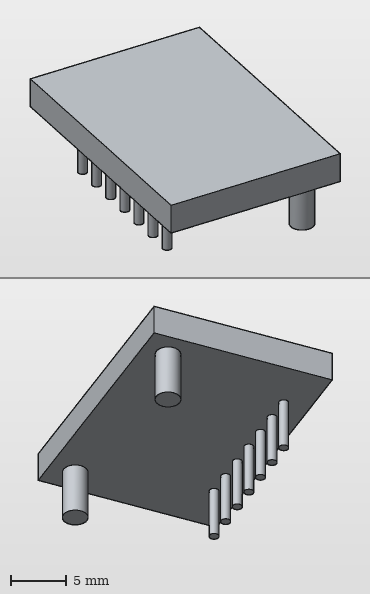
import cadquery as cq

housing_length = 25.4
housing_width = 17.78
overall_height = 8.0
leg_length = 5.03
housing_height = overall_height - leg_length

pin_diameter = 0.91
pin_count = 7
pitch = 2.55
row_offset = 2.5 * pitch

post_diameter = 2.34
post_offset_x = 4 * pitch


def make_housing():
    """Plain rectangular block."""
    return cq.Workplane("XY").box(
        housing_length, housing_width, housing_height, centered=(True, True, False)
    )


def make_leg(diameter, x, y):
    """Round leg hanging from the underside of the housing."""
    return cq.Workplane("XY").center(x, y).circle(diameter / 2).extrude(-leg_length)


housing = make_housing()

pins = []
for index in range(pin_count):
    pin_x = (index - (pin_count - 1) / 2) * pitch
    pins.append(make_leg(pin_diameter, pin_x, -row_offset).val())

posts = []
for side in (-1, 1):
    posts.append(make_leg(post_diameter, side * post_offset_x, row_offset).val())

result = cq.Compound.makeCompound([housing.val(), *pins, *posts])